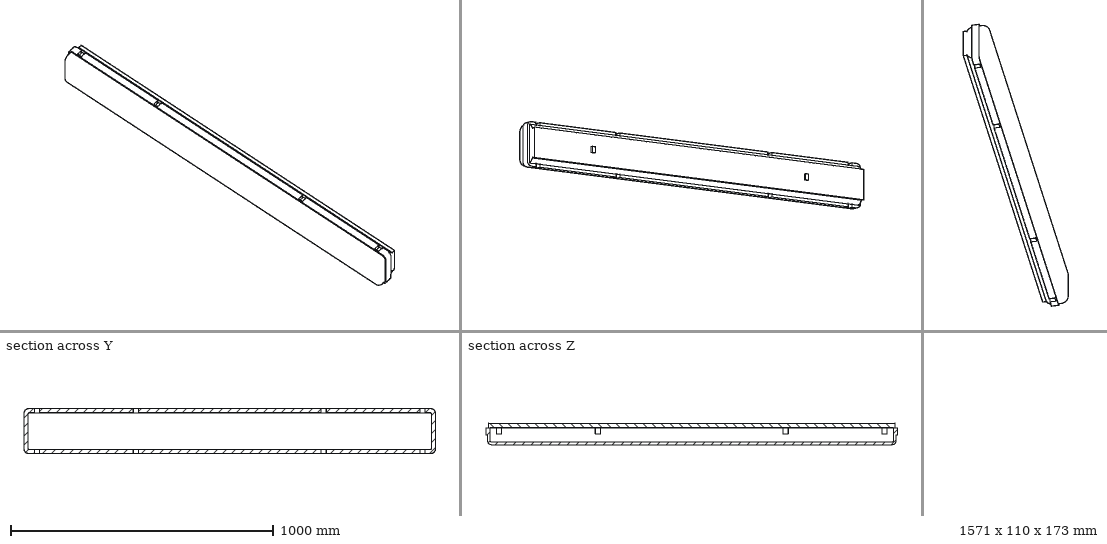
import cadquery as cq

length = 1571.0
flange_height = 173.0
flange_front = 40.0
flange_back = 68.0
flange_corner = 20.0
cover_inset = 5.5
cover_edge_radius = 30.0
cover_end_radius = 15.0
wall = 11.0

notch_width = 19.0
notch_depth = 24.0
outer_notch_place = 735.0
inner_notch_place = 358.0

base_length = 1550.0
back_face = 102.0
plate_front = 88.0
plate_height = 118.0
flare_back_height = 110.0
flare_middle = 80.0
flare_middle_height = 135.0
flare_front_height = 151.0

stud_tip = 110.0
stud_width = 14.0
stud_height = 24.0
stud_place = 503.0


def block(size_x, size_z, y_front, y_back):
    """Box centred on X and Z that spans the given Y range."""
    depth = y_back - y_front
    return cq.Workplane("XY").box(size_x, depth, size_z).translate((0, y_front + depth / 2, 0))


def rounded_bowl(shrink, y_back):
    """Solid with rounded front edges, set in by `shrink` from the cover's outside."""
    size_x = length - 2 * (cover_inset + shrink)
    size_z = flange_height - 2 * (cover_inset + shrink)
    bowl = block(size_x, size_z, shrink, y_back)
    bowl = bowl.edges("<Y and |X").fillet(cover_edge_radius - shrink)
    return bowl.faces("<X or >X").edges("not >Y").fillet(cover_end_radius - shrink)


def make_cover():
    flange = block(length, flange_height, flange_front, flange_back)
    flange = flange.edges("|Y").fillet(flange_corner)
    cover = rounded_bowl(0, flange_back).union(flange)
    cover = cover.cut(rounded_bowl(wall, flange_back))
    for place in (outer_notch_place, inner_notch_place):
        for side in (-1, 1):
            notch = block(notch_width, flange_height, flange_back - notch_depth, flange_back)
            cover = cover.cut(notch.translate((side * place, 0, 0)))
    return cover


def make_base():
    base = (
        cq.Workplane("YZ")
        .moveTo(flange_back, -flare_front_height / 2)
        .lineTo(flange_back, flare_front_height / 2)
        .threePointArc((flare_middle, flare_middle_height / 2), (plate_front, flare_back_height / 2))
        .lineTo(plate_front, plate_height / 2)
        .lineTo(back_face, plate_height / 2)
        .lineTo(back_face, -plate_height / 2)
        .lineTo(plate_front, -plate_height / 2)
        .lineTo(plate_front, -flare_back_height / 2)
        .threePointArc((flare_middle, -flare_middle_height / 2), (flange_back, -flare_front_height / 2))
        .close()
        .extrude(base_length / 2, both=True)
    )
    for side in (-1, 1):
        stud = block(stud_width, stud_height, back_face, stud_tip)
        base = base.union(stud.translate((side * stud_place, 0, 0)))
    return base


cover = make_cover()
base = make_base()

result = cq.Compound.makeCompound([cover.val(), base.val()])